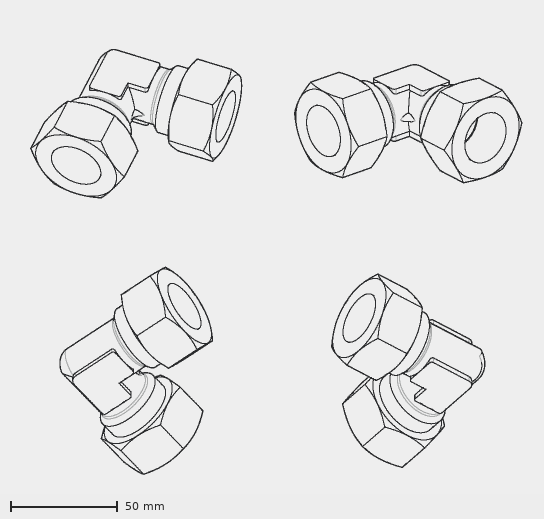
import cadquery as cq
import math

OVERALL = 77.7
NUT_FLATS = 41.0
NUT_LENGTH = 21.0
NUT_CHAMFER_ANGLE = 30.0
NUT_FACE_RADIUS = 20.4

BODY_RADIUS = 13.5
COLLAR_RADIUS = 16.5
COLLAR_START = 25.1
SHOULDER_FILLET = 1.55
OUTER_CORNER_RADIUS = 6.75
INNER_CORNER_RADIUS = 5.0

PAD_X_LEG_HALF_WIDTH = 8.5
PAD_Y_LEG_HALF_WIDTH = 8.0
PAD_REACH = 17.9
PAD_HEEL_RADIUS = 3.5
PAD_END_RADIUS = 1.3

TUBE_RADIUS = 12.5
BORE_RADIUS = 12.0
DRILL_TIP_HALF_ANGLE = 60.0

nut_corner_radius = NUT_FLATS / math.sqrt(3)
arm_end = OVERALL - nut_corner_radius
nut_start = arm_end - NUT_LENGTH


def revolve_about_x(outline):
    """Turn a closed XY outline a full turn about the X axis."""
    return outline.close().revolve(360, (0, 0, 0), (1, 0, 0))


def on_both_arms(shape):
    """Join a shape on the +X arm with its copy turned onto the -Y arm."""
    return shape.union(shape.rotate((0, 0, 0), (0, 0, 1), -90))


def make_nut():
    hexagon = (
        cq.Workplane("YZ", origin=(nut_start, 0, 0))
        .polygon(6, 2 * nut_corner_radius)
        .extrude(NUT_LENGTH)
    )
    rise = nut_corner_radius - NUT_FACE_RADIUS
    run = rise * math.tan(math.radians(NUT_CHAMFER_ANGLE))
    envelope = revolve_about_x(
        cq.Workplane("XY")
        .moveTo(nut_start, 0)
        .lineTo(nut_start, NUT_FACE_RADIUS)
        .lineTo(nut_start + run, nut_corner_radius)
        .lineTo(arm_end - run, nut_corner_radius)
        .lineTo(arm_end, NUT_FACE_RADIUS)
        .lineTo(arm_end, 0)
    )
    return hexagon.intersect(envelope)


def make_arm():
    """Round arm with a filleted 45-degree shoulder up to the collar, running into the nut."""
    shoulder_start = COLLAR_START - (COLLAR_RADIUS - BODY_RADIUS)
    turn = math.radians(45)
    tangent = SHOULDER_FILLET * math.tan(turn / 2)
    fillet_start = shoulder_start - tangent
    fillet_centre_y = BODY_RADIUS + SHOULDER_FILLET

    def fillet_point(angle):
        x = fillet_start + SHOULDER_FILLET * math.sin(angle)
        return x, fillet_centre_y - SHOULDER_FILLET * math.cos(angle)

    return revolve_about_x(
        cq.Workplane("XY")
        .moveTo(0, 0)
        .lineTo(0, BODY_RADIUS)
        .lineTo(fillet_start, BODY_RADIUS)
        .threePointArc(fillet_point(turn / 2), fillet_point(turn))
        .lineTo(COLLAR_START, COLLAR_RADIUS)
        .lineTo(nut_start + NUT_LENGTH / 2, COLLAR_RADIUS)
        .lineTo(nut_start + NUT_LENGTH / 2, 0)
    )


def make_heel():
    """Outer corner: where the -Y arm's rounded end lies inside the +X arm carried past its axis."""
    rounded_end = (
        cq.Workplane("XZ")
        .circle(BODY_RADIUS)
        .extrude(-BODY_RADIUS)
        .faces(">Y")
        .edges()
        .fillet(OUTER_CORNER_RADIUS)
    )
    crossing_arm = cq.Workplane("YZ").circle(BODY_RADIUS).extrude(-BODY_RADIUS)
    return rounded_end.intersect(crossing_arm)


def make_inner_corner():
    """Quarter ring that rounds the inner corner between the arms."""
    pivot = BODY_RADIUS + INNER_CORNER_RADIUS
    section_radius = INNER_CORNER_RADIUS * (math.sqrt(2) - 1)
    swing = INNER_CORNER_RADIUS + section_radius
    return (
        cq.Workplane("XZ", origin=(pivot - swing, -pivot, 0))
        .circle(section_radius)
        .revolve(90, (swing, 0, 0), (swing, -1, 0))
    )


def make_pads():
    """L-shaped flats, level with the top and bottom of the arms."""
    x_half = PAD_Y_LEG_HALF_WIDTH
    y_half = PAD_X_LEG_HALF_WIDTH
    heel_corner = (-x_half, y_half)
    x_leg_end = [(PAD_REACH, y_half), (PAD_REACH, -y_half)]
    notch = (x_half, -y_half)
    y_leg_end = [(x_half, -PAD_REACH), (-x_half, -PAD_REACH)]
    pad = (
        cq.Workplane("XY", origin=(0, 0, -BODY_RADIUS))
        .polyline([heel_corner, *x_leg_end, notch, *y_leg_end])
        .close()
        .extrude(2 * BODY_RADIUS)
    )

    def round_corner(solid, corner, radius):
        return solid.edges(cq.selectors.NearestToPointSelector((*corner, 0))).fillet(radius)

    pad = round_corner(pad, heel_corner, PAD_HEEL_RADIUS)
    for corner in x_leg_end + y_leg_end:
        pad = round_corner(pad, corner, PAD_END_RADIUS)
    return pad


def make_bore():
    """Drilled bore with a conical tip past the crossing point, opened up for the tube in the nut."""
    tip_depth = BORE_RADIUS / math.tan(math.radians(DRILL_TIP_HALF_ANGLE))
    return revolve_about_x(
        cq.Workplane("XY")
        .moveTo(-tip_depth, 0)
        .lineTo(0, BORE_RADIUS)
        .lineTo(nut_start, BORE_RADIUS)
        .lineTo(nut_start, TUBE_RADIUS)
        .lineTo(arm_end, TUBE_RADIUS)
        .lineTo(arm_end, 0)
    )


result = (
    on_both_arms(make_arm())
    .union(make_heel())
    .union(make_inner_corner())
    .union(make_pads())
    .union(on_both_arms(make_nut()))
    .cut(on_both_arms(make_bore()))
)